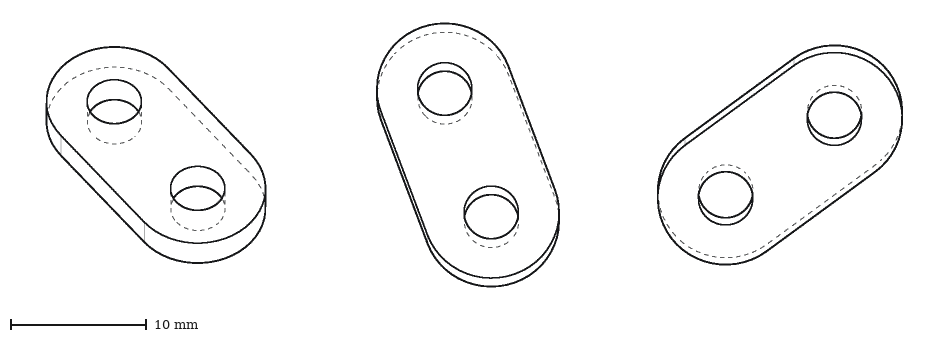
import cadquery as cq

length = 20
width = 10
thickness = 2.5
hole_diameter = 4

hole_spacing = length - width

plate = cq.Workplane("XY").slot2D(length, width).extrude(thickness)

result = (
    plate.faces(">Z")
    .workplane()
    .rarray(hole_spacing, 0.2, 2, 1)
    .hole(hole_diameter)
)